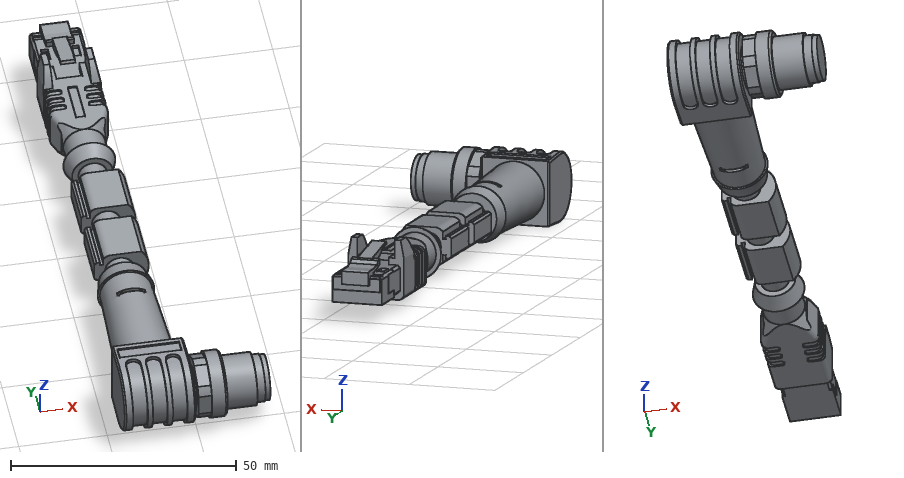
import cadquery as cq
import math


HEAD_RADIUS = 8.0
HEAD_HALF_LENGTH = 8.1
HEAD_REAR_Y = 8.1
HEAD_REAR_HALF_HEIGHT = 7.4
HEAD_CHAMFER = 0.4
HEAD_GROOVE_WIDTH = 3.3
HEAD_GROOVE_PITCH = 4.5
HEAD_GROOVE_DEPTH = 0.8
HEAD_GROOVE_TOP_Y = 2.7
HEAD_LABEL_Y = (3.8, 6.9)
HEAD_LABEL_LENGTH = 14.0
LABEL_DEPTH = 0.4

NECK_DIAMETER = 9.6
NUT_START_X = 8.8
NUT_ACROSS_FLATS = 13.3
NUT_CORNER_DIAMETER = 14.2
COLLAR_START_X = 11.8
COLLAR_DIAMETER = 15.0
COLLAR_CHAMFER = 0.5
SLEEVE_START_X = 15.4
SLEEVE_DIAMETER = 12.0
TIP_START_X = 22.3
TIP_DIAMETER = 10.8
TIP_RIM_START_X = 24.2
TIP_RIM_DIAMETER = 10.4
TIP_END_X = 25.4

TAPER_END_Y = 33.6
TAPER_BASE_RADIUS = 6.9
TAPER_END_RADIUS = 5.9
TAPER_LIP_RADIUS = 6.4
TAPER_CAP_END_Y = 37.4
TAPER_CAP_END_RADIUS = 5.5
NOTCH_Y = (26.9, 27.8)
NOTCH_FLOOR_Z = 5.3

CABLE_DIAMETER = 6.4
CLIP_LENGTH = 12.0
CLIP_STARTS_Y = (41.5, 57.4)
CLIP_HALF_HEIGHT = 4.4
CLIP_BODY_LEFT_X = -3.6
CLIP_CORNER_WIDTH = 1.7
CLIP_CORNER_DROP = 0.9
CLIP_ARC_START_X = 5.0
CLIP_RIGHT_X = 6.7
CLIP_PLATE_X = (-5.6, -4.4)
CLIP_PLATE_HALF_HEIGHT = 2.5
CLIP_PLATE_CHAMFER = 0.5
CLIP_WEB_HALF_HEIGHT = 1.8

BOOT_CAP_Y = (73.7, 77.5)
BOOT_CAP_RADII = (4.6, 5.9)
BOOT_SLEEVE_RADIUS = 4.7
BOOT_HALF_WIDTH = 6.5
BOOT_HALF_HEIGHT = BOOT_SLEEVE_RADIUS
BOOT_NOSE_Y = 83.6
BOOT_TAPER_END_Y = 85.2
BOOT_TAPER_END_HALF_WIDTH = 4.9
BOOT_TAPER_START_Y = 89.7
BOOT_CONE_END_RADIUS = 8.2
BOOT_FRONT_Y = 105.5
BOOT_EDGE_RADIUS = 1.4
BOOT_GROOVE_WIDTH = 1.5
BOOT_GROOVE_CENTRES_Y = (91.8, 94.2, 96.8)
BOOT_GROOVE_INNER_X = 2.5
BOOT_GROOVE_DEPTH = 0.4
BOOT_LABEL_Y = (87.8, 98.0)
BOOT_LABEL_WIDTH = 2.0
WINDOW_WIDTH = 5.9
WINDOW_REAR_Y = 101.3

EAR_REAR_Y = 98.2
EAR_TOP_REAR_Y = 101.8
EAR_TOP_Z = 8.8
EAR_INNER_X = 4.4
EAR_TOP_OUTER_X = 5.8
EAR_BULGE = 0.56

PLUG_HALF_WIDTH = 5.8
PLUG_HALF_HEIGHT = 3.2
PLUG_FRONT_Y = 118.8
PLUG_CHAMFER = 0.6
PLUG_SIDE_RELIEF = 0.1
PLUG_RELIEF_END_Y = 113.8
PLUG_STEP_END_Y = 109.8
PLUG_STEP_Z = -1.5
PLUG_LIP_FRONT_Y = 119.2
PLUG_LIP_HALF_WIDTH = 5.5
PLUG_LIP_BOTTOM_Z = -0.3
PLUG_POCKET_Y = (109.7, 113.0)
PLUG_POCKET_WIDTH = 1.5
PLUG_POCKET_CENTRE_X = 3.5
PLUG_POCKET_DEPTH = 0.8
PLUG_SLOT_Y = (116.6, 117.9)
PLUG_SLOT_OUTER_X = 5.3
PLUG_SLOT_DEPTH = 0.5
LATCH_WIDTH = 6.3
LATCH_FRONT_Y = 120.2
LATCH_TOP_Z = 4.5
LATCH_NOSE_BOTTOM_Z = 1.3
LATCH_LIP_DROP = 0.3
LATCH_LIP_LENGTH = 0.9
LATCH_ARM_WIDTH = 3.3
LATCH_CREASE = (114.2, 4.9)
LATCH_WING_RISE = (113.3, 5.6)
LATCH_WING_REAR_TOP = (112.3, 5.9)
LATCH_WING_REAR_BOTTOM = (112.3, 4.6)
LATCH_WING_FRONT_BOTTOM = (114.2, 4.0)
LATCH_NOSE_REAR_BOTTOM = (116.5, 3.6)
LATCH_ARM_FRONT_TOP = (113.3, 6.0)
LATCH_ARM_TIP_TOP = (103.3, 8.0)
LATCH_ARM_TIP_BOTTOM = (102.9, 7.3)
LATCH_ARM_UNDERSIDE = [(105.9, 6.9), (107.0, 6.0), (110.6, 4.6), (113.3, 4.4)]

OVERSHOOT = 1.3


def box(x, y, z):
    """Box between the (low, high) limits on each axis."""
    size = [limits[1] - limits[0] for limits in (x, y, z)]
    return cq.Workplane("XY").box(*size, centered=False).translate((x[0], y[0], z[0]))


def cone_y(y, radii):
    """Round body about the Y axis whose radius runs from radii[0] to radii[1]."""
    points = [(0, y[0]), (radii[0], y[0]), (radii[1], y[1]), (0, y[1])]
    return cq.Workplane("XY").polyline(points).close().revolve(360, (0, 0), (0, 1))


def cylinder_x(x, diameter):
    return cq.Workplane("YZ").workplane(offset=x[0]).circle(diameter / 2).extrude(x[1] - x[0])


def side_prism(points, width):
    """Extrude a (Y, Z) outline symmetrically about X = 0."""
    return cq.Workplane("YZ").polyline(points).close().extrude(width / 2, both=True)


def head_blank(inset):
    """D-shaped head, with its round and sloping surfaces moved inward by inset."""
    radius = HEAD_RADIUS - inset
    rear_z = HEAD_REAR_HALF_HEIGHT - inset
    corner_angle = math.atan2(rear_z, HEAD_REAR_Y)
    tangent_angle = corner_angle + math.acos(radius / math.hypot(HEAD_REAR_Y, rear_z))
    tangent_y = radius * math.cos(tangent_angle)
    tangent_z = radius * math.sin(tangent_angle)
    return (
        cq.Workplane("YZ")
        .moveTo(HEAD_REAR_Y, -rear_z)
        .lineTo(HEAD_REAR_Y, rear_z)
        .lineTo(tangent_y, tangent_z)
        .threePointArc((-radius, 0), (tangent_y, -tangent_z))
        .close()
        .extrude(HEAD_HALF_LENGTH, both=True)
    )


def make_head():
    groove_radius = HEAD_GROOVE_WIDTH / 2
    groove_bottom_y = -HEAD_RADIUS - OVERSHOOT
    arch_y = HEAD_GROOVE_TOP_Y - groove_radius
    height = HEAD_RADIUS + OVERSHOOT
    grooves = cq.Workplane("XY")
    for index in (-1, 0, 1):
        centre_x = index * HEAD_GROOVE_PITCH
        sides = (centre_x - groove_radius, centre_x + groove_radius)
        grooves = grooves.union(box(sides, (groove_bottom_y, arch_y), (-height, height)))
        arch = cq.Workplane("XY").center(centre_x, arch_y).circle(groove_radius).extrude(height, both=True)
        grooves = grooves.union(arch)
    grooves = grooves.cut(head_blank(HEAD_GROOVE_DEPTH))

    label_half = HEAD_LABEL_LENGTH / 2
    label = box((-label_half, label_half), HEAD_LABEL_Y, (0, height)).cut(head_blank(LABEL_DEPTH))
    head = head_blank(0).faces("<X or >X").edges().chamfer(HEAD_CHAMFER)
    return head.cut(grooves).cut(label)


def make_round_connector():
    neck = cylinder_x((0, COLLAR_START_X), NECK_DIAMETER)
    nut_length = COLLAR_START_X - NUT_START_X
    nut = (
        cq.Workplane("YZ")
        .workplane(offset=NUT_START_X)
        .polygon(6, NUT_ACROSS_FLATS, circumscribed=True)
        .extrude(nut_length)
        .intersect(cylinder_x((NUT_START_X, COLLAR_START_X), NUT_CORNER_DIAMETER))
    )
    collar = cylinder_x((COLLAR_START_X, SLEEVE_START_X), COLLAR_DIAMETER)
    collar = collar.faces(">X").edges().chamfer(COLLAR_CHAMFER)
    sleeve = cylinder_x((SLEEVE_START_X, TIP_START_X), SLEEVE_DIAMETER)
    tip = cylinder_x((TIP_START_X, TIP_RIM_START_X), TIP_DIAMETER)
    rim = cylinder_x((TIP_RIM_START_X, TIP_END_X), TIP_RIM_DIAMETER)
    return neck.union(nut).union(collar).union(sleeve).union(tip).union(rim)


def make_tapered_sleeve():
    taper = cone_y((HEAD_REAR_Y, TAPER_END_Y), (TAPER_BASE_RADIUS, TAPER_END_RADIUS))
    reach = TAPER_BASE_RADIUS
    for z in ((NOTCH_FLOOR_Z, reach), (-reach, -NOTCH_FLOOR_Z)):
        taper = taper.cut(box((-reach, reach), NOTCH_Y, z))
    cap = cone_y((TAPER_END_Y, TAPER_CAP_END_Y), (TAPER_LIP_RADIUS, TAPER_CAP_END_RADIUS))
    return taper.union(cap)


def make_label_clip(start_y):
    end_y = start_y + CLIP_LENGTH
    right_bulge = CLIP_RIGHT_X - CLIP_ARC_START_X
    right_radius = (CLIP_HALF_HEIGHT**2 + right_bulge**2) / (2 * right_bulge)
    upper_half = (
        cq.Workplane("XZ")
        .moveTo(CLIP_RIGHT_X, 0)
        .radiusArc((CLIP_ARC_START_X, CLIP_HALF_HEIGHT), -right_radius)
        .lineTo(CLIP_BODY_LEFT_X + CLIP_CORNER_WIDTH, CLIP_HALF_HEIGHT)
        .tangentArcPoint((CLIP_BODY_LEFT_X, CLIP_HALF_HEIGHT - CLIP_CORNER_DROP), relative=False)
        .lineTo(CLIP_BODY_LEFT_X, 0)
        .close()
        .extrude(-CLIP_LENGTH)
        .translate((0, start_y, 0))
    )
    body = upper_half.union(upper_half.mirror("XY"))
    plate = box(CLIP_PLATE_X, (start_y, end_y), (-CLIP_PLATE_HALF_HEIGHT, CLIP_PLATE_HALF_HEIGHT))
    plate = plate.edges("|Y and <X").chamfer(CLIP_PLATE_CHAMFER)
    web_x = (CLIP_PLATE_X[1], CLIP_BODY_LEFT_X)
    web = box(web_x, (start_y, end_y), (-CLIP_WEB_HALF_HEIGHT, CLIP_WEB_HALF_HEIGHT))
    return body.union(web).union(plate)


def boot_blank(inset):
    """Flat boot body with a tapered nose and rounded long edges, moved inward by inset."""
    half_width = BOOT_HALF_WIDTH - inset
    right_side = [
        (half_width, BOOT_FRONT_Y),
        (half_width, BOOT_TAPER_START_Y),
        (BOOT_TAPER_END_HALF_WIDTH - inset, BOOT_TAPER_END_Y),
        (BOOT_TAPER_END_HALF_WIDTH - inset, BOOT_NOSE_Y),
    ]
    left_side = [(-x, y) for x, y in reversed(right_side)]
    blank = cq.Workplane("XY").polyline(right_side + left_side).close()
    blank = blank.extrude(BOOT_HALF_HEIGHT - inset, both=True)
    return blank.faces("<Z or >Z").edges("not (<Y or >Y)").fillet(BOOT_EDGE_RADIUS)


def make_boot():
    cap = cone_y(BOOT_CAP_Y, BOOT_CAP_RADII)
    sleeve = cone_y((BOOT_CAP_Y[1], BOOT_TAPER_START_Y), (BOOT_SLEEVE_RADIUS, BOOT_SLEEVE_RADIUS))
    shoulder = box(
        (-BOOT_HALF_WIDTH, BOOT_HALF_WIDTH), (EAR_REAR_Y, BOOT_FRONT_Y), (0, BOOT_HALF_HEIGHT)
    )
    nose_cone = cone_y((BOOT_NOSE_Y, BOOT_TAPER_START_Y), (BOOT_SLEEVE_RADIUS, BOOT_CONE_END_RADIUS))
    beyond_cone = cone_y((BOOT_TAPER_START_Y, BOOT_FRONT_Y), (BOOT_CONE_END_RADIUS, BOOT_CONE_END_RADIUS))
    trim = nose_cone.union(beyond_cone)
    boot = boot_blank(0).intersect(trim).union(shoulder)

    groove_radius = BOOT_GROOVE_WIDTH / 2
    groove_length = 2 * (BOOT_HALF_WIDTH - BOOT_GROOVE_INNER_X)
    height = BOOT_HALF_HEIGHT + OVERSHOOT
    grooves = (
        cq.Workplane("XY")
        .pushPoints([(side * BOOT_HALF_WIDTH, y) for side in (-1, 1) for y in BOOT_GROOVE_CENTRES_Y])
        .slot2D(groove_length, BOOT_GROOVE_WIDTH)
        .extrude(height, both=True)
        .cut(boot_blank(BOOT_GROOVE_DEPTH))
    )

    label_half = BOOT_LABEL_WIDTH / 2
    label = box((-label_half, label_half), BOOT_LABEL_Y, (BOOT_HALF_HEIGHT - LABEL_DEPTH, height))
    window_half = WINDOW_WIDTH / 2
    window = box((-window_half, window_half), (WINDOW_REAR_Y, BOOT_FRONT_Y), (PLUG_HALF_HEIGHT, height))
    return boot.cut(grooves).union(sleeve).union(cap).cut(label).cut(window)


def make_ears():
    """Two upright ears with a curved rear edge and a leaning outer face."""
    base_z = PLUG_HALF_HEIGHT
    rise = EAR_TOP_Z - BOOT_HALF_HEIGHT
    run = EAR_TOP_REAR_Y - EAR_REAR_Y
    middle = (EAR_REAR_Y + (1 - EAR_BULGE) * run, BOOT_HALF_HEIGHT + EAR_BULGE * rise)
    side_shape = (
        cq.Workplane("YZ")
        .moveTo(EAR_REAR_Y, base_z)
        .lineTo(BOOT_FRONT_Y, base_z)
        .lineTo(BOOT_FRONT_Y, EAR_TOP_Z)
        .lineTo(EAR_TOP_REAR_Y, EAR_TOP_Z)
        .threePointArc(middle, (EAR_REAR_Y, BOOT_HALF_HEIGHT))
        .close()
        .extrude(BOOT_HALF_WIDTH)
    )
    section = [
        (EAR_INNER_X, base_z),
        (BOOT_HALF_WIDTH, base_z),
        (BOOT_HALF_WIDTH, BOOT_HALF_HEIGHT),
        (EAR_TOP_OUTER_X, EAR_TOP_Z),
        (EAR_INNER_X, EAR_TOP_Z),
    ]
    ear = cq.Workplane("XZ").polyline(section).close().extrude(-BOOT_FRONT_Y).intersect(side_shape)
    return ear.union(ear.mirror("YZ"))


def make_plug():
    top_z = PLUG_HALF_HEIGHT
    height = (-top_z, top_z)
    waist = PLUG_HALF_WIDTH - PLUG_SIDE_RELIEF
    rear = box((-waist, waist), (WINDOW_REAR_Y, PLUG_STEP_END_Y), height).edges("|Y").chamfer(PLUG_CHAMFER)
    front = box((-PLUG_HALF_WIDTH, PLUG_HALF_WIDTH), (PLUG_STEP_END_Y, PLUG_FRONT_Y), height)
    front = front.edges("|Y and >Z").chamfer(PLUG_CHAMFER)
    lip_x = (-PLUG_LIP_HALF_WIDTH, PLUG_LIP_HALF_WIDTH)
    lip_z = (PLUG_LIP_BOTTOM_Z, top_z - PLUG_SLOT_DEPTH)
    plug = rear.union(front).union(box(lip_x, (PLUG_FRONT_Y, PLUG_LIP_FRONT_Y), lip_z))

    pocket_half = PLUG_POCKET_WIDTH / 2
    relief_x = (waist, PLUG_HALF_WIDTH)
    pocket_x = (PLUG_POCKET_CENTRE_X - pocket_half, PLUG_POCKET_CENTRE_X + pocket_half)
    slot_x = (LATCH_WIDTH / 2, PLUG_SLOT_OUTER_X)
    cuts = (
        box(relief_x, (PLUG_STEP_END_Y, PLUG_RELIEF_END_Y), (PLUG_STEP_Z, top_z))
        .union(box(pocket_x, PLUG_POCKET_Y, (top_z - PLUG_POCKET_DEPTH, top_z)))
        .union(box(slot_x, PLUG_SLOT_Y, (top_z - PLUG_SLOT_DEPTH, top_z)))
    )
    return plug.cut(cuts).cut(cuts.mirror("YZ"))


def make_latch():
    """Latch rooted on the plug's front, rising rearward as a narrow springy arm."""
    nose_rear_y = LATCH_NOSE_REAR_BOTTOM[0]
    root = [
        (LATCH_FRONT_Y, LATCH_NOSE_BOTTOM_Z),
        (LATCH_FRONT_Y, LATCH_TOP_Z - LATCH_LIP_DROP),
        (LATCH_FRONT_Y - LATCH_LIP_LENGTH, LATCH_TOP_Z),
        (nose_rear_y, LATCH_TOP_Z),
        LATCH_CREASE,
        LATCH_WING_RISE,
        LATCH_WING_REAR_TOP,
        LATCH_WING_REAR_BOTTOM,
        LATCH_WING_FRONT_BOTTOM,
        LATCH_NOSE_REAR_BOTTOM,
        (nose_rear_y, LATCH_NOSE_BOTTOM_Z),
    ]
    arm = [LATCH_ARM_FRONT_TOP, LATCH_ARM_TIP_TOP, LATCH_ARM_TIP_BOTTOM] + LATCH_ARM_UNDERSIDE
    return side_prism(root, LATCH_WIDTH).union(side_prism(arm, LATCH_ARM_WIDTH))


cable = cone_y((HEAD_REAR_Y, BOOT_NOSE_Y), (CABLE_DIAMETER / 2, CABLE_DIAMETER / 2))

result = make_head().union(make_round_connector()).union(make_tapered_sleeve()).union(cable)
for clip_start_y in CLIP_STARTS_Y:
    result = result.union(make_label_clip(clip_start_y))
result = result.union(make_boot()).union(make_ears()).union(make_plug()).union(make_latch())